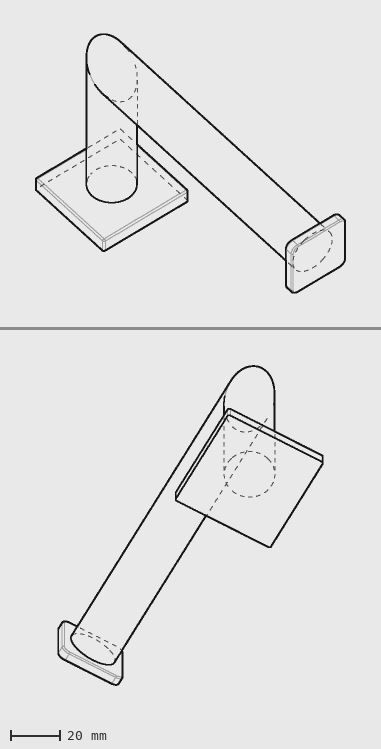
import cadquery as cq

total_length = 156.3
total_height = 90.8

base_side = 44.4
base_thickness = 6.7
base_edge_radius = 0.8

bar_diameter = 20.6
bar_radius = bar_diameter / 2

end_side = 28.3
end_thickness = 4.2
end_corner_radius = 3.3
end_edge_radius = 0.6

arm_height = total_height - end_side / 2
post_to_end = total_length - base_side / 2
end_inner_face = post_to_end - end_thickness


def make_base():
    """Base plate with rounded upright edges and a rounded top rim."""
    plate = cq.Workplane("XY").rect(base_side, base_side).extrude(base_thickness)
    return plate.edges("|Z or >Z").fillet(base_edge_radius)


def make_bar():
    """Post and arm joined by a 45 degree mitre at the corner."""
    path = (
        cq.Workplane("XZ")
        .moveTo(0, base_thickness)
        .lineTo(0, arm_height)
        .lineTo(end_inner_face, arm_height)
    )
    section = cq.Workplane("XY", origin=(0, 0, base_thickness)).circle(bar_radius)
    return section.sweep(path, transition="right")


def make_end_plate():
    """End plate with rounded corners and rounded rims on both faces."""
    plate = (
        cq.Workplane("YZ", origin=(end_inner_face, 0, arm_height))
        .rect(end_side, end_side)
        .extrude(end_thickness)
        .edges("|X")
        .fillet(end_corner_radius)
    )
    return plate.faces("<X or >X").edges().fillet(end_edge_radius)


result = make_base().union(make_bar()).union(make_end_plate())